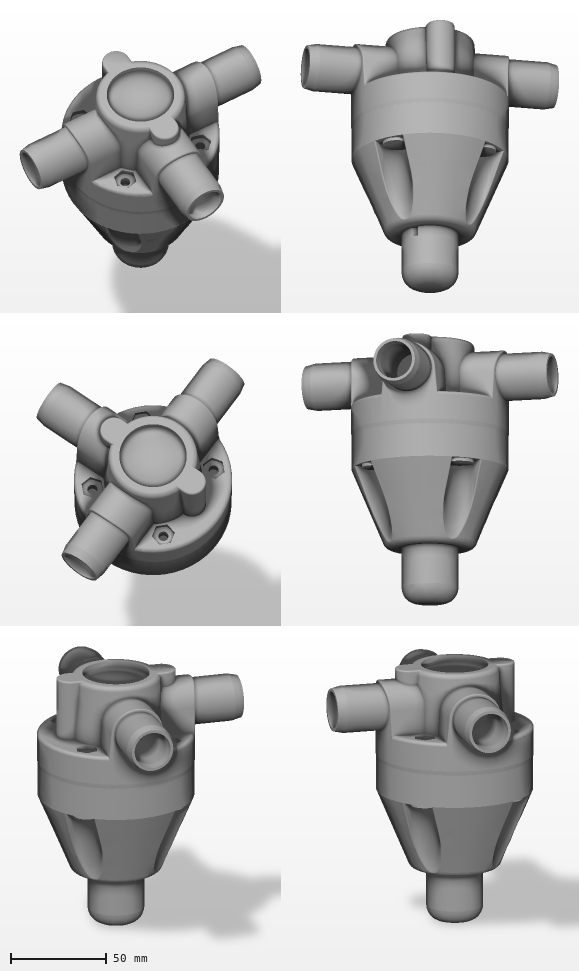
import cadquery as cq
import math

TOP_Z = 138.5
PORT_AXIS_Z = 118.4
FLANGE_TOP_Z = 106.1
FLANGE_BOTTOM_Z = 91.0
COLLAR_TOP_Z = 88.8
COLLAR_BOTTOM_Z = 71.2
CONE_BOTTOM_Z = 29.1

DRAFT_ANGLE = math.radians(5)

FLANGE_RADIUS = 41.5
FLANGE_FILLET = 2.0
COLLAR_RADIUS = 41.3
CONE_BOTTOM_RADIUS = 23.4
CONE_FILLET = 4.0

SPIGOT_RADIUS = 15.0
SPIGOT_FILLET = 8.0
NOTCH_INSET = 9.0
NOTCH_DEPTH = 5.0

TOWER_TOP_RADIUS = 23.1
TOWER_FILLET = 2.8
RECESS_RADIUS = 17.7
RECESS_DEPTH = 5.0
RECESS_FILLET = 2.0

LUG_OFFSET = 25.0
LUG_RADIUS = 7.3
LUG_FILLET = 1.0

PORT_REACHES = {0: 66.9, 90: 67.0, -90: 67.0}
PORT_RADIUS = 12.5
PORT_TIP_RADIUS = 11.4
PORT_TIP_LENGTH = 5.0
PORT_BORE_RADIUS = 9.8
PORT_BORE_END = 27.7
PORT_ROOT = 34.6
SADDLE_RADIUS = 14.1
SADDLE_FILLET = 0.7

BOLT_OFFSET = 22.9
NUT_ACROSS_FLATS = 10.5
NUT_RECESS = 2.6
NUT_HEIGHT = 4.2
NUT_CHAMFER_ANGLE = math.radians(30)
BOLT_HOLE_RADIUS = 2.6
BOLT_HOLE_DEPTH = 8.3
BOLT_SLOT_RADIUS = 8.5
BOLT_SLOT_FILLET = 0.5
BOLT_BOSS_RADIUS = 7.5
BOLT_BOSS_HEIGHT = 1.7

BOLT_CIRCLE_RADIUS = BOLT_OFFSET * math.sqrt(2)
TOLERANCE = 0.001
BOLT_ANGLES = (45, 135, 225, 315)


def cylinder(radius, bottom, top):
    """Vertical cylinder on the main axis."""
    return cq.Workplane("XY").workplane(offset=bottom).circle(radius).extrude(top - bottom)


def frustum(bottom_radius, bottom, top_radius, top):
    """Vertical cone frustum on the main axis."""
    outline = [(0, bottom), (bottom_radius, bottom), (top_radius, top), (0, top)]
    return cq.Workplane("XZ").polyline(outline).close().revolve(360, (0, 0), (0, 1))


def turned_about_axis(body, angle):
    return body.rotate((0, 0, 0), (0, 0, 1), angle)


def bolt_slot():
    """U-shaped slot, open outward along +X and running up to the collar."""
    height = COLLAR_BOTTOM_Z - CONE_BOTTOM_Z
    plane = cq.Workplane("XY").workplane(offset=CONE_BOTTOM_Z)
    round_end = plane.center(BOLT_CIRCLE_RADIUS, 0).circle(BOLT_SLOT_RADIUS).extrude(height)
    mouth = plane.center(BOLT_CIRCLE_RADIUS + FLANGE_RADIUS / 2, 0)
    mouth = mouth.rect(FLANGE_RADIUS, 2 * BOLT_SLOT_RADIUS).extrude(height)
    return round_end.union(mouth)


def bolt_boss():
    plane = cq.Workplane("XY").workplane(offset=COLLAR_BOTTOM_Z - BOLT_BOSS_HEIGHT)
    return plane.center(BOLT_CIRCLE_RADIUS, 0).circle(BOLT_BOSS_RADIUS).extrude(2 * BOLT_BOSS_HEIGHT)


def lower_bowl():
    cone = frustum(CONE_BOTTOM_RADIUS, CONE_BOTTOM_Z, COLLAR_RADIUS, COLLAR_BOTTOM_Z)
    cone = cone.faces("<Z").edges().fillet(CONE_FILLET)
    for angle in BOLT_ANGLES:
        cone = cone.cut(turned_about_axis(bolt_slot(), angle))
    slot_rims = cq.selectors.BoxSelector(
        (-COLLAR_RADIUS, -COLLAR_RADIUS, CONE_BOTTOM_Z + CONE_FILLET),
        (COLLAR_RADIUS, COLLAR_RADIUS, COLLAR_BOTTOM_Z - BOLT_SLOT_FILLET),
    )
    cone = cone.faces("%CONE").edges(slot_rims).fillet(BOLT_SLOT_FILLET)
    bowl = cone.union(cylinder(COLLAR_RADIUS, COLLAR_BOTTOM_Z, COLLAR_TOP_Z))
    for angle in BOLT_ANGLES:
        bowl = bowl.union(turned_about_axis(bolt_boss(), angle))
    return bowl


def spigot():
    body = cylinder(SPIGOT_RADIUS, 0, CONE_BOTTOM_Z + CONE_FILLET).faces("<Z").edges().fillet(SPIGOT_FILLET)
    notch = cq.Workplane("XY").box(SPIGOT_RADIUS, SPIGOT_RADIUS, NOTCH_DEPTH, centered=False)
    notch = notch.translate((-NOTCH_INSET - SPIGOT_RADIUS, NOTCH_INSET, CONE_BOTTOM_Z - NOTCH_DEPTH))
    return body.cut(notch)


def saddle_prism():
    """Arched bar along +X with drafted sides, running out past the flange rim."""
    foot_z = FLANGE_BOTTOM_Z
    drop = PORT_AXIS_Z - foot_z
    foot_half_width = (SADDLE_RADIUS + drop * math.sin(DRAFT_ANGLE)) / math.cos(DRAFT_ANGLE)
    tangent_y = SADDLE_RADIUS * math.cos(DRAFT_ANGLE)
    tangent_z = PORT_AXIS_Z + SADDLE_RADIUS * math.sin(DRAFT_ANGLE)
    return (
        cq.Workplane("YZ")
        .moveTo(-foot_half_width, foot_z)
        .lineTo(foot_half_width, foot_z)
        .lineTo(tangent_y, tangent_z)
        .threePointArc((0, PORT_AXIS_Z + SADDLE_RADIUS), (-tangent_y, tangent_z))
        .close()
        .extrude(2 * FLANGE_RADIUS)
    )


class SaddleRim(cq.Selector):
    """Picks the edges on the flange rim that lie above the flange top."""

    def filter(self, edges):
        return [edge for edge in edges if self.on_rim(edge)]

    def on_rim(self, edge):
        points = [edge.positionAt(share) for share in (0.25, 0.75)]
        return all(
            point.z > FLANGE_TOP_Z + TOLERANCE
            and abs(math.hypot(point.x, point.y) - FLANGE_RADIUS) < TOLERANCE
            for point in points
        )


def flange_rounding():
    """Ring of material to remove from the top rim of the flange between the saddles."""
    disc = cylinder(FLANGE_RADIUS, FLANGE_BOTTOM_Z, FLANGE_TOP_Z).faces(">Z").edges().fillet(FLANGE_FILLET)
    ring = cylinder(FLANGE_RADIUS + FLANGE_FILLET, FLANGE_TOP_Z - FLANGE_FILLET, FLANGE_TOP_Z).cut(disc)
    for angle in PORT_REACHES:
        ring = ring.cut(turned_about_axis(saddle_prism(), angle))
    return ring


def flange():
    """Flange and saddles, sharing one cylindrical rim."""
    side = 4 * FLANGE_RADIUS
    body = cq.Workplane("XY").workplane(offset=FLANGE_BOTTOM_Z)
    body = body.rect(side, side).extrude(FLANGE_TOP_Z - FLANGE_BOTTOM_Z)
    for angle in PORT_REACHES:
        body = body.union(turned_about_axis(saddle_prism(), angle))
    trim = cylinder(FLANGE_RADIUS, FLANGE_BOTTOM_Z, TOP_Z)
    body = body.intersect(turned_about_axis(trim, 45))
    body = body.edges(SaddleRim()).fillet(SADDLE_FILLET)
    return body.cut(flange_rounding())


def joint():
    """Thin tapered band between the collar and the flange."""
    return frustum(COLLAR_RADIUS, COLLAR_TOP_Z, FLANGE_RADIUS, FLANGE_BOTTOM_Z)


def tower():
    base_radius = TOWER_TOP_RADIUS + (TOP_Z - FLANGE_TOP_Z) * math.tan(DRAFT_ANGLE)
    body = frustum(base_radius, FLANGE_TOP_Z, TOWER_TOP_RADIUS, TOP_Z)
    body = body.faces(">Z").edges().fillet(TOWER_FILLET)
    for side in (-1, 1):
        base = cq.Workplane("XY").workplane(offset=FLANGE_TOP_Z)
        height = TOP_Z - FLANGE_TOP_Z
        lug = base.center(side * LUG_OFFSET / 2, 0).rect(LUG_OFFSET, 2 * LUG_RADIUS).extrude(height)
        lug = lug.union(base.center(side * LUG_OFFSET, 0).circle(LUG_RADIUS).extrude(height))
        lug = lug.faces(">Z").edges().fillet(LUG_FILLET)
        body = body.union(lug)
    return body


def tower_recess():
    cutter = cylinder(RECESS_RADIUS, TOP_Z - RECESS_DEPTH, TOP_Z)
    return cutter.faces("<Z").edges().fillet(RECESS_FILLET)


def port(reach):
    """Hose port along +X with a tapered tip."""
    plane = cq.Workplane("YZ").workplane(offset=PORT_ROOT).center(0, PORT_AXIS_Z)
    pipe = plane.circle(PORT_RADIUS).extrude(reach - PORT_ROOT)
    return pipe.faces(">X").edges().chamfer(PORT_TIP_LENGTH, PORT_RADIUS - PORT_TIP_RADIUS)


def port_bore(reach):
    plane = cq.Workplane("YZ").workplane(offset=PORT_BORE_END).center(0, PORT_AXIS_Z)
    return plane.circle(PORT_BORE_RADIUS).extrude(reach - PORT_BORE_END)


def nut_pocket():
    """Hexagonal pocket with one flat facing outward along +X."""
    corner_diameter = NUT_ACROSS_FLATS / math.cos(math.pi / 6)
    depth = NUT_RECESS + NUT_HEIGHT
    pocket = cq.Workplane("XY").workplane(offset=FLANGE_TOP_Z - depth)
    pocket = pocket.polygon(6, corner_diameter).extrude(depth)
    return turned_about_axis(pocket, 30)


def nut():
    """Nut filling the pocket, sunk below the flange top, with chamfered corners."""
    top = FLANGE_TOP_Z - NUT_RECESS
    chamfer_radius = NUT_ACROSS_FLATS / 2
    cone_height = chamfer_radius * math.tan(NUT_CHAMFER_ANGLE)
    envelope = frustum(2 * chamfer_radius, top - cone_height, chamfer_radius, top)
    envelope = envelope.union(cylinder(2 * chamfer_radius, top - NUT_HEIGHT, top - cone_height))
    return nut_pocket().intersect(envelope)


def nut_seat():
    """Open space above the nut, at the first bolt position."""
    return nut_pocket().cut(nut()).translate((BOLT_CIRCLE_RADIUS, 0, 0))


def bolt_hole():
    plane = cq.Workplane("XY").workplane(offset=FLANGE_TOP_Z - BOLT_HOLE_DEPTH)
    return plane.center(BOLT_CIRCLE_RADIUS, 0).circle(BOLT_HOLE_RADIUS).extrude(BOLT_HOLE_DEPTH)


result = lower_bowl().union(spigot()).union(joint()).union(flange()).union(tower())

for angle, reach in PORT_REACHES.items():
    result = result.union(turned_about_axis(port(reach), angle))
    result = result.cut(turned_about_axis(port_bore(reach), angle))

result = result.cut(tower_recess())

for angle in BOLT_ANGLES:
    result = result.cut(turned_about_axis(nut_seat(), angle))
    result = result.cut(turned_about_axis(bolt_hole(), angle))